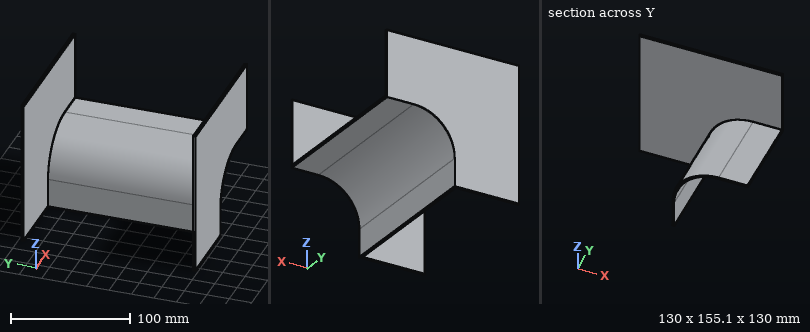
import cadquery as cq

side = 130.0
width = 155.1
thickness = 2.0
arm = 63.3
inner_radius = 40.3

left = -side / 2
right = side / 2
bottom = -side / 2
top = side / 2


def corner_prism(arm_width, bend_radius):
    """L-shaped prism over the full width, with a round inner corner."""
    notch_x = left + arm_width
    notch_z = top - arm_width
    bend_x = notch_x + bend_radius
    bend_z = notch_z - bend_radius
    return (
        cq.Workplane("XZ")
        .moveTo(left, bottom)
        .lineTo(notch_x, bottom)
        .lineTo(notch_x, bend_z)
        .radiusArc((bend_x, notch_z), bend_radius)
        .lineTo(right, notch_z)
        .lineTo(right, top)
        .lineTo(left, top)
        .close()
        .extrude(width / 2, both=True)
    )


body = corner_prism(arm, inner_radius)

channel_band = cq.Workplane("XY").box(side, width - 2 * thickness, side)
channel = corner_prism(arm - thickness, inner_radius + thickness).intersect(channel_band)

result = body.cut(channel)